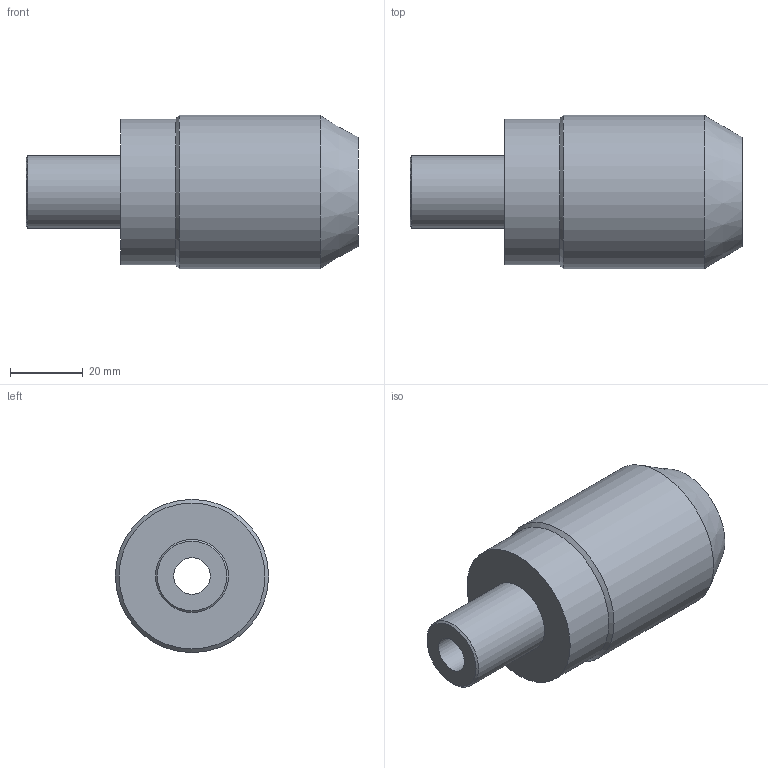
import cadquery as cq
import math

total_length = 91.0
shank_length = 26.0
collar_length = 15.0

shank_diameter = 20.0
collar_diameter = 40.0
body_diameter = 42.0
nose_end_diameter = 30.0
bore_diameter = 10.0

shank_chamfer = 0.5
nose_half_angle = 30.0

shank_radius = shank_diameter / 2
collar_radius = collar_diameter / 2
body_radius = body_diameter / 2
nose_end_radius = nose_end_diameter / 2

body_chamfer = body_radius - collar_radius

collar_start = shank_length
body_start = collar_start + collar_length
nose_length = (body_radius - nose_end_radius) / math.tan(math.radians(nose_half_angle))
nose_start = total_length - nose_length


def turned_body():
    """Solid of revolution about X: shank, collar, body and tapered nose."""
    profile = (
        cq.Workplane("XY")
        .moveTo(0, 0)
        .lineTo(0, shank_radius - shank_chamfer)
        .lineTo(shank_chamfer, shank_radius)
        .lineTo(collar_start, shank_radius)
        .lineTo(collar_start, collar_radius)
        .lineTo(body_start, collar_radius)
        .lineTo(body_start + body_chamfer, body_radius)
        .lineTo(nose_start, body_radius)
        .lineTo(total_length, nose_end_radius)
        .lineTo(total_length, 0)
        .close()
    )
    return profile.revolve(360, (0, 0, 0), (1, 0, 0))


def through_bore():
    """Cylinder along X that opens the part from end to end."""
    return cq.Workplane("YZ").circle(bore_diameter / 2).extrude(total_length)


result = turned_body().cut(through_bore())